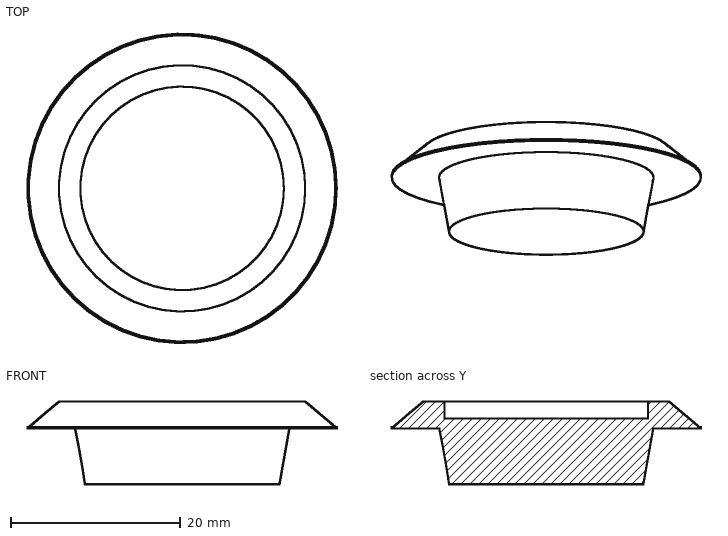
import cadquery as cq

flange_diameter = 36.5
flange_top_diameter = 29.05
cone_base_diameter = 36.15
rim_height = 0.22
flange_height = 3.2

total_height = 9.8
plug_height = total_height - flange_height
plug_top_diameter = 25.33
plug_bottom_diameter = 23.0

recess_diameter = 24.0
recess_depth = 2.0


def make_body():
    """Revolve the half profile of the plug and flange about Z."""
    return (
        cq.Workplane("XZ")
        .moveTo(0, 0)
        .lineTo(plug_bottom_diameter / 2, 0)
        .lineTo(plug_top_diameter / 2, plug_height)
        .lineTo(flange_diameter / 2, plug_height)
        .lineTo(flange_diameter / 2, plug_height + rim_height)
        .lineTo(cone_base_diameter / 2, plug_height + rim_height)
        .lineTo(flange_top_diameter / 2, total_height)
        .lineTo(0, total_height)
        .close()
        .revolve(360, (0, 0, 0), (0, 1, 0))
    )


def make_recess():
    """Cylinder that is removed from the top face."""
    return (
        cq.Workplane("XY")
        .workplane(offset=total_height - recess_depth)
        .circle(recess_diameter / 2)
        .extrude(recess_depth)
    )


result = make_body().cut(make_recess())